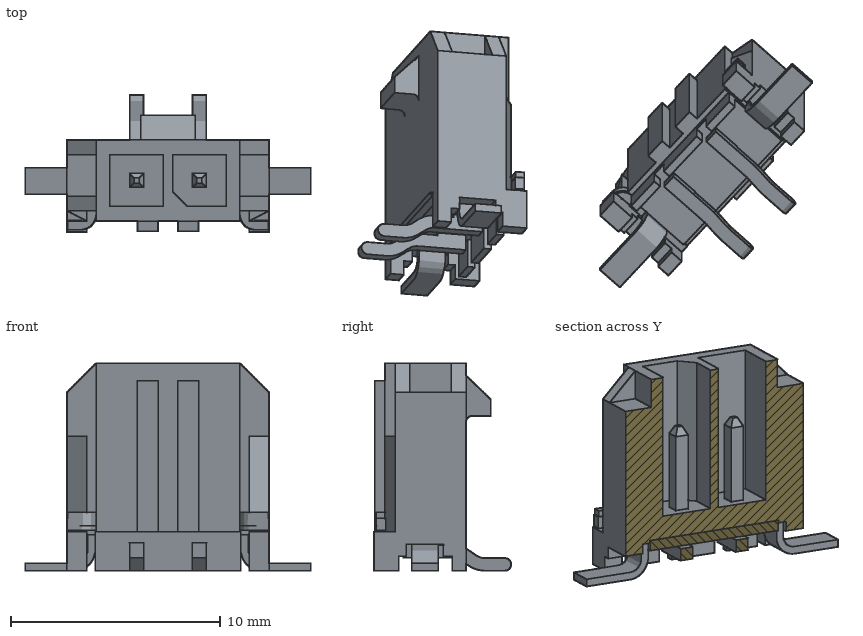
import cadquery as cq
import math


height = 9.92
core_depth = 3.88
housing_width = 9.66
wing_notch_depth = 0.49
post_width = 0.95
post_front_y = -2.47
post_height = 1.85
wing_chamfer = 1.39
wing_pocket_rear_y = 1.23
wing_pocket_front_y = -0.76
wedge_top = 6.43

pitch = 3.0
cavity_width = 2.55
cavity_depth = 2.47
cavity_floor = 3.0
key_cut = 0.7

rib_width = 1.0
rib_spacing = 1.94
rib_front_y = -2.43
rib_top = 9.09

latch_width = 2.6
latch_reach = 1.19
latch_root_top = 9.34
latch_tip_top = 8.19
latch_bottom = 7.4
latch_fillet = 0.29

opening_depth = 2.55
opening_height = 0.7
nail_window_depth = 1.77
nail_window_height = 1.27

base_width = 6.96
base_depth = 3.39
skirt_thickness = 0.37
slot_height = 1.35

pin_size = 0.67
pin_top = 7.1
foot_front_y = -1.06
tip_size = 0.25
tip_length = 0.41
tail_thickness = 0.61
tail_end_y = 4.1
tail_flat_y = 2.84
tail_bend_radius = 0.75
tail_angle = math.radians(35)

nail_span = 13.65
nail_width = 1.28
nail_center_y = -0.03
nail_thickness = 0.37
nail_bend_radius = 0.61
nail_slot_top = 1.73

hook_bottom = 1.94
hook_step_top = 2.14
hook_ledge_z = 2.51
hook_top = 2.8
hook_front_y = -2.35
hook_radius = 0.68
hook_step_radius = 0.75
hook_end_setback = 0.04
hook_heel_length = 0.68
hook_heel_depth = 0.04

rear_y = core_depth / 2
front_y = -core_depth / 2
wing_front_y = front_y + wing_notch_depth
housing_half = housing_width / 2
core_half = housing_half - wing_chamfer
wall_inner = housing_half - post_width
base_half = base_width / 2
shoulder_z = height - wing_chamfer
skirt_front_y = -base_depth / 2
skirt_rear_y = skirt_front_y + skirt_thickness
contact_bottom = tail_thickness
contact_xs = (-pitch / 2, pitch / 2)


def box(x0, x1, y0, y1, z0, z1):
    """Axis-aligned block between the given limits."""
    return cq.Workplane("XY").box(x1 - x0, y1 - y0, z1 - z0, centered=False).translate((x0, y0, z0))


def both_sides(shape):
    """The +X shape joined with its mirror image at -X."""
    return shape.union(shape.mirror("YZ"))



def insert_base():
    """Plate under the housing floor with a front skirt, slotted in front of each contact."""
    plate = box(-base_half, base_half, skirt_front_y, -skirt_front_y, slot_height, post_height)
    skirt = box(-base_half, base_half, skirt_front_y, skirt_rear_y, 0, post_height)
    base = plate.union(skirt)
    for x in contact_xs:
        base = base.cut(box(x - pin_size / 2, x + pin_size / 2, skirt_front_y, skirt_rear_y, 0, slot_height))
    return base


def contact_tail(x):
    """Flat tail that rises through an S-bend to a level run ending in the pin foot."""
    half = tail_thickness / 2
    radius = tail_bend_radius + half
    bend_run = radius * math.sin(tail_angle)
    bend_rise = radius * (1 - math.cos(tail_angle))
    mid_run = radius * math.sin(tail_angle / 2)
    mid_rise = radius * (1 - math.cos(tail_angle / 2))
    slope_rise = contact_bottom - 2 * bend_rise
    slope_run = slope_rise / math.tan(tail_angle)
    low_z = half
    high_z = contact_bottom + half
    level_y = tail_flat_y - 2 * bend_run - slope_run
    tip_y = tail_end_y - half
    path = (
        cq.Workplane("YZ")
        .moveTo(tip_y, low_z)
        .lineTo(tail_flat_y, low_z)
        .threePointArc((tail_flat_y - mid_run, low_z + mid_rise), (tail_flat_y - bend_run, low_z + bend_rise))
        .lineTo(level_y + bend_run, high_z - bend_rise)
        .threePointArc((level_y + mid_run, high_z - mid_rise), (level_y, high_z))
        .lineTo(foot_front_y, high_z)
    )
    strip = cq.Workplane("XZ", origin=(0, tip_y, low_z)).rect(pin_size, tail_thickness).sweep(path)
    round_end = cq.Workplane("YZ").center(tip_y, low_z).circle(half).extrude(pin_size / 2, both=True)
    return strip.union(round_end).translate((x, 0, 0))


def contact_pin(x):
    """Square upright pin with a pyramid tip and a foot that meets the base."""
    shaft_top = pin_top - tip_length
    shaft = box(x - pin_size / 2, x + pin_size / 2, -pin_size / 2, pin_size / 2, contact_bottom, shaft_top)
    foot = box(x - pin_size / 2, x + pin_size / 2, foot_front_y, pin_size / 2, contact_bottom, slot_height)
    tip = (
        cq.Workplane("XY", origin=(x, 0, shaft_top))
        .rect(pin_size, pin_size)
        .workplane(offset=tip_length)
        .rect(tip_size, tip_size)
        .loft(ruled=True)
    )
    return shaft.union(foot).union(tip)


def nail_strap():
    """+X solder tab bent up into a plate that stands against the insert base."""
    center_x = base_half + nail_thickness + nail_bend_radius
    center_z = nail_thickness + nail_bend_radius
    outer_radius = nail_thickness + nail_bend_radius
    diagonal = math.sqrt(0.5)
    return (
        cq.Workplane("XZ", origin=(0, nail_center_y + nail_width / 2, 0))
        .moveTo(nail_span / 2, 0)
        .lineTo(center_x, 0)
        .threePointArc(
            (center_x - outer_radius * diagonal, center_z - outer_radius * diagonal),
            (base_half, center_z),
        )
        .lineTo(base_half, hook_top)
        .lineTo(base_half + nail_thickness, hook_top)
        .lineTo(base_half + nail_thickness, center_z)
        .threePointArc(
            (center_x - nail_bend_radius * diagonal, center_z - nail_bend_radius * diagonal),
            (center_x, nail_thickness),
        )
        .lineTo(nail_span / 2, nail_thickness)
        .close()
        .extrude(nail_width)
    )


def hook_layer(z0, z1, radius, end_x):
    """One level of the +X hook: an arm along Y turned outward round the wedge corner."""
    diagonal = radius * math.sqrt(0.5)
    arc_x = core_half + radius
    arc_y = hook_front_y + radius
    arm_rear_y = nail_center_y + nail_width / 2
    return (
        cq.Workplane("XY", origin=(0, 0, z0))
        .moveTo(core_half, arm_rear_y)
        .lineTo(core_half, arc_y)
        .threePointArc((arc_x - diagonal, arc_y - diagonal), (arc_x, hook_front_y))
        .lineTo(end_x, hook_front_y)
        .lineTo(end_x, front_y)
        .lineTo(wall_inner, front_y)
        .lineTo(wall_inner, arm_rear_y)
        .close()
        .extrude(z1 - z0)
    )


def hook():
    """+X hook: tighter bend above the bottom step, and an upper end set slightly back."""
    end_x = housing_half
    heel = box(end_x - hook_heel_length, end_x, front_y, front_y + hook_heel_depth, hook_bottom, hook_ledge_z)
    return (
        hook_layer(hook_bottom, hook_step_top, hook_step_radius, end_x)
        .union(hook_layer(hook_step_top, hook_ledge_z, hook_radius, end_x))
        .union(hook_layer(hook_ledge_z, hook_top, hook_radius, end_x - hook_end_setback))
        .union(heel)
    )


def make_insert():
    """Base, contacts and solder nails joined in one piece."""
    insert = insert_base()
    for x in contact_xs:
        insert = insert.union(contact_tail(x)).union(contact_pin(x))
    return insert.union(both_sides(nail_strap().union(hook()))).clean()



def housing_shell():
    """Core block with chamfered wings on both sides and a corner post in front of each."""
    wings = (
        box(-housing_half, housing_half, wing_front_y, rear_y, 0, height)
        .faces(">Z").edges("|Y").chamfer(wing_chamfer)
    )
    core = box(-core_half, core_half, front_y, rear_y, 0, height)
    post = box(wall_inner, housing_half, post_front_y, rear_y, 0, post_height)
    return wings.union(core).union(both_sides(post))


def wedge():
    """+X triangular gusset on the wing front, behind the hook."""
    return (
        cq.Workplane("XY", origin=(0, 0, post_height))
        .polyline([(housing_half, wing_front_y), (wall_inner, wing_front_y), (wall_inner, front_y)])
        .close()
        .extrude(wedge_top - post_height)
    )


def wing_pocket():
    """+X open pocket in the chamfered top of the wing."""
    return box(core_half, housing_half, wing_pocket_front_y, wing_pocket_rear_y, shoulder_z, height)


def rib():
    """+X front rib."""
    center = rib_spacing / 2
    return box(center - rib_width / 2, center + rib_width / 2, rib_front_y, front_y, post_height, rib_top)


def latch():
    """Rear latch ramp with a fillet under its root."""
    return (
        cq.Workplane("YZ")
        .moveTo(rear_y, latch_root_top)
        .lineTo(rear_y + latch_reach, latch_tip_top)
        .lineTo(rear_y + latch_reach, latch_bottom)
        .lineTo(rear_y + latch_fillet, latch_bottom)
        .radiusArc((rear_y, latch_bottom - latch_fillet), -latch_fillet)
        .close()
        .extrude(latch_width / 2, both=True)
    )


def cavity(x):
    """Mating cavity around one contact."""
    return box(
        x - cavity_width / 2, x + cavity_width / 2,
        -cavity_depth / 2, cavity_depth / 2,
        cavity_floor, height,
    )


def keyed_cavity(x):
    """Cavity with its front inner corner filled for polarisation."""
    return cavity(x).edges("|Z and <X and <Y").chamfer(key_cut)


def underside():
    """Clearance below the floor: insert recess, nail slots and the side wall openings."""
    recess = box(-base_half, base_half, front_y, rear_y, 0, post_height)
    slots = box(-wall_inner, wall_inner, front_y, rear_y, 0, nail_slot_top)
    opening = box(-housing_half, housing_half, -opening_depth / 2, opening_depth / 2, 0, opening_height)
    window = box(
        -housing_half, housing_half,
        nail_center_y - nail_window_depth / 2, nail_center_y + nail_window_depth / 2,
        0, nail_window_height,
    )
    return recess.union(slots).union(opening).union(window)


def make_housing(insert):
    """Housing with passages that match the insert."""
    return (
        housing_shell()
        .union(both_sides(wedge()))
        .union(both_sides(rib()))
        .union(latch())
        .cut(both_sides(wing_pocket()))
        .cut(cavity(contact_xs[0]))
        .cut(keyed_cavity(contact_xs[1]))
        .cut(underside())
        .cut(insert)
        .clean()
    )


insert = make_insert()
housing = make_housing(insert)

result = cq.Compound.makeCompound([housing.solids().val(), insert.solids().val()])